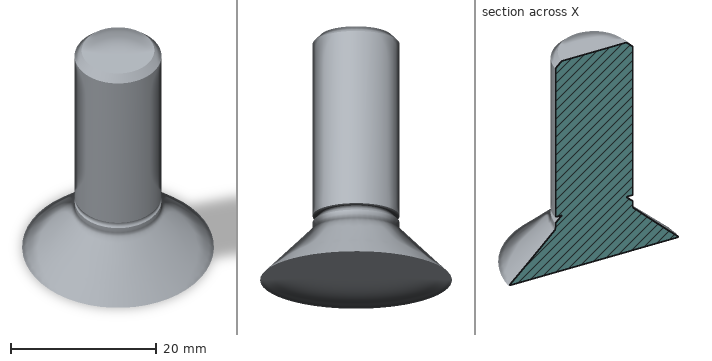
import cadquery as cq
import math

total_height = 35.0
head_radius = 13.2
shank_radius = 6.0
head_slope = math.radians(45)
tip_chamfer = 0.98
neck_fillet = 0.63
collar_top = 8.25
relief_depth = 0.95

cone_top = (head_radius - shank_radius) * math.tan(head_slope)
slope_from_axis = math.pi / 2 - head_slope
tangent_length = neck_fillet * math.tan(slope_from_axis / 2)
fillet_start = (
    shank_radius + tangent_length * math.cos(head_slope),
    cone_top - tangent_length * math.sin(head_slope),
)
fillet_end = (shank_radius, cone_top + tangent_length)
fillet_center = (shank_radius + neck_fillet, fillet_end[1])
fillet_middle = (
    fillet_center[0] - neck_fillet * math.cos(slope_from_axis / 2),
    fillet_center[1] - neck_fillet * math.sin(slope_from_axis / 2),
)

profile = (
    cq.Workplane("XZ")
    .moveTo(0, 0)
    .lineTo(head_radius, 0)
    .lineTo(*fillet_start)
    .threePointArc(fillet_middle, fillet_end)
    .lineTo(shank_radius, collar_top)
    .lineTo(shank_radius - relief_depth, collar_top + relief_depth)
    .lineTo(shank_radius, collar_top + relief_depth)
    .lineTo(shank_radius, total_height - tip_chamfer)
    .lineTo(shank_radius - tip_chamfer, total_height)
    .lineTo(0, total_height)
    .close()
)

result = profile.revolve(360, (0, 0, 0), (0, 1, 0))